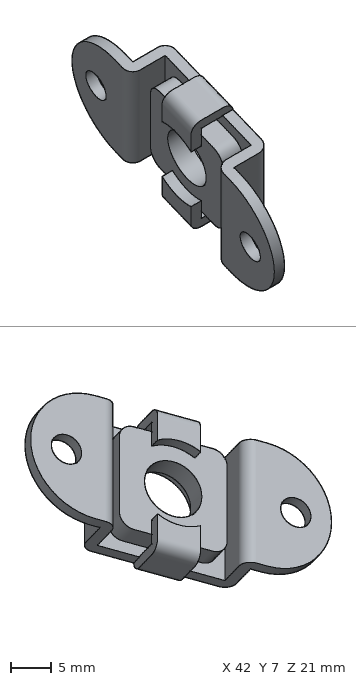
import cadquery as cq
import math

LENGTH = 42.0
DEPTH = 7.0
HEIGHT = 18.0
SHEET = 1.6
CHANNEL_WIDTH = 21.0
FOOT_HOLE_DIAMETER = 4.2
FOOT_HOLE_SPACING = 32.0
CLEARANCE_HOLE_DIAMETER = 10.0

CLIP_SPAN = 21.0
CLIP_WIDTH = 6.0
CLIP_DEPTH = 6.45
CLIP_MOUTH_RADIUS = 6.17

NUT_SIDE = 15.05
NUT_THICKNESS = 3.02
NUT_HOLE_DIAMETER = 8.0
NUT_CORNER_RADIUS = 2.0

BACK_Y = DEPTH / 2
FOOT_Y = -DEPTH / 2
CLIP_FRONT_Y = BACK_Y - CLIP_DEPTH
NUT_FRONT_Y = CLIP_FRONT_Y + SHEET


def rod_along_y(diameter, x=0):
    """Round cutter along Y, through the full depth."""
    return cq.Workplane("XZ", origin=(x, BACK_Y, 0)).circle(diameter / 2).extrude(DEPTH)


def make_folded_sheet():
    """Hat-shaped sheet with round outer bends, sharp inner bends and round ends."""
    half_length = LENGTH / 2
    outer_x = CHANNEL_WIDTH / 2
    inner_x = outer_x - SHEET
    right_half = [
        (inner_x, BACK_Y - SHEET),
        (inner_x, FOOT_Y),
        (half_length, FOOT_Y),
        (half_length, FOOT_Y + SHEET),
        (outer_x, FOOT_Y + SHEET),
        (outer_x, BACK_Y),
    ]
    left_half = [(-x, y) for x, y in reversed(right_half)]
    sheet = cq.Workplane("XY").polyline(right_half + left_half).close().extrude(HEIGHT / 2, both=True)

    bend_points = [(side * x, y, 0) for side in (-1, 1) for x, y in ((outer_x, BACK_Y), (inner_x, FOOT_Y))]
    for point in bend_points:
        bend_edge = sheet.edges(cq.selectors.NearestToPointSelector(point))
        sheet = bend_edge.fillet(SHEET)

    outline = cq.Workplane("XZ").slot2D(LENGTH, HEIGHT).extrude(DEPTH, both=True)
    return sheet.intersect(outline)


def make_clip(side):
    """J-shaped clip joined to the back of the sheet; side is 1 for top, -1 for bottom."""
    root_z = side * (HEIGHT / 2 - SHEET)
    outer_z = side * CLIP_SPAN / 2
    inner_z = outer_z - side * SHEET
    diagonal = SHEET * (1 - math.sqrt(0.5))
    clip = (
        cq.Workplane("YZ")
        .moveTo(BACK_Y, root_z)
        .lineTo(BACK_Y, inner_z)
        .threePointArc((BACK_Y - diagonal, outer_z - side * diagonal), (BACK_Y - SHEET, outer_z))
        .lineTo(CLIP_FRONT_Y + SHEET, outer_z)
        .threePointArc((CLIP_FRONT_Y + diagonal, outer_z - side * diagonal), (CLIP_FRONT_Y, inner_z))
        .lineTo(CLIP_FRONT_Y, 0)
        .lineTo(NUT_FRONT_Y, 0)
        .lineTo(NUT_FRONT_Y, inner_z)
        .lineTo(BACK_Y - SHEET, inner_z)
        .lineTo(BACK_Y - SHEET, root_z)
        .close()
        .extrude(CLIP_WIDTH / 2, both=True)
    )
    return clip.cut(rod_along_y(2 * CLIP_MOUTH_RADIUS))


def make_bracket():
    bracket = make_folded_sheet()
    for side in (-1, 1):
        bracket = bracket.union(make_clip(side))
        bracket = bracket.cut(rod_along_y(FOOT_HOLE_DIAMETER, side * FOOT_HOLE_SPACING / 2))
    return bracket.cut(rod_along_y(CLEARANCE_HOLE_DIAMETER))


def make_nut():
    """Rounded square plate with the centre hole, resting against the clip lips."""
    nut = (
        cq.Workplane("XZ", origin=(0, NUT_FRONT_Y, 0))
        .rect(NUT_SIDE, NUT_SIDE)
        .extrude(-NUT_THICKNESS)
        .edges("|Y")
        .fillet(NUT_CORNER_RADIUS)
    )
    return nut.cut(rod_along_y(NUT_HOLE_DIAMETER))


bracket = make_bracket()
nut = make_nut()
result = cq.Compound.makeCompound([bracket.val(), nut.val()])